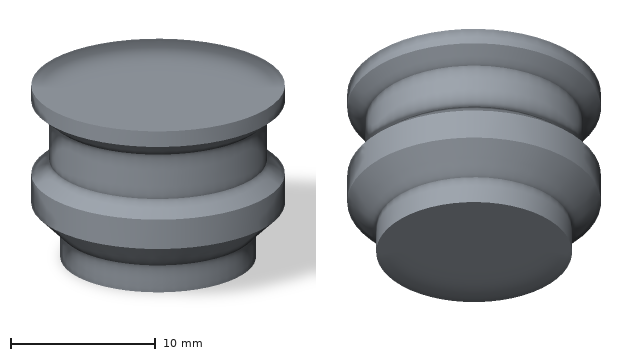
import cadquery as cq

rim_radius = 8.75
neck_radius = 7.5
foot_radius = 6.75

foot_height = 2.0
lower_cone_height = rim_radius - foot_radius
belt_height = 2.17
groove_flank_height = 1.05
neck_height = 3.29
total_height = 12.7

lower_cone_base = foot_height
belt_base = lower_cone_base + lower_cone_height
belt_top = belt_base + belt_height
neck_base = belt_top + groove_flank_height
neck_top = neck_base + neck_height
rim_base = neck_top + groove_flank_height

profile = [
    (0, 0),
    (foot_radius, 0),
    (foot_radius, lower_cone_base),
    (rim_radius, belt_base),
    (rim_radius, belt_top),
    (neck_radius, neck_base),
    (neck_radius, neck_top),
    (rim_radius, rim_base),
    (rim_radius, total_height),
    (0, total_height),
]

result = cq.Workplane("XZ").polyline(profile).close().revolve(360, (0, 0), (0, 1))